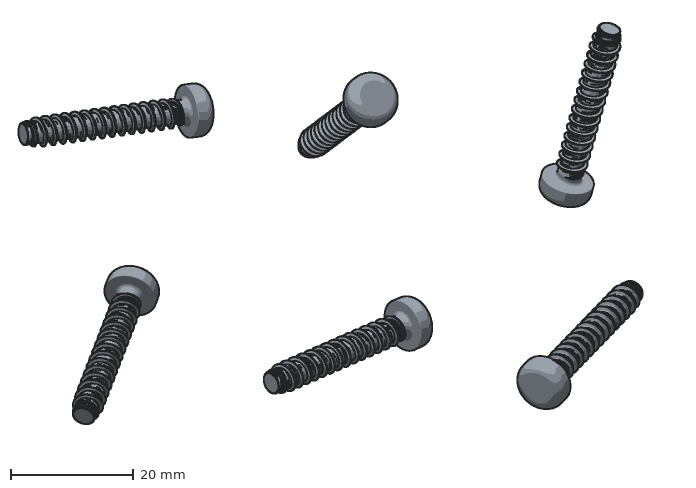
import cadquery as cq
import math

total_length = 33.5
head_height = 3.5
head_radius = 4.405
head_crown_radius = 1.75
head_rim_fillet = 0.17

shank_radius = 2.0
neck_fillet = 0.67
shank_end = 1.27
neck_end = 1.98
tip_radius = 1.7
tip_cone_height = 0.1
tip_bevel_height = 0.15

pitch = 1.7998
crest_radius = 2.5
crest_half_width = 0.05
shoulder_radius = 1.98
shoulder_offset = 0.27
root_radius = 1.8
root_offset = 0.57
foot_radius = 1.925
foot_offset = 0.25

first_crest = 1.17
first_crest_angle = -90.0
run_in_end = 2.85
run_in_radius = 2.15
run_out_start = 27.03
run_out_radius = 1.88
crest_clearance = 0.05

shank_length = total_length - head_height
thread_length = shank_length - shank_end
mid_angle = math.pi / 4


def revolve_about_y(profile):
    return profile.close().revolve(360, (0, 0, 0), (0, 1, 0))


def make_head_and_neck():
    """Head, filleted shank and narrowing neck, turned as one profile of (radius, y) points."""
    crown_x = head_radius - head_crown_radius
    crown_y = head_height - head_crown_radius
    rim_x = head_radius - head_rim_fillet
    fillet_x = shank_radius + neck_fillet
    crown_mid = (
        crown_x + head_crown_radius * math.cos(mid_angle),
        crown_y + head_crown_radius * math.sin(mid_angle),
    )
    rim_mid = (
        rim_x + head_rim_fillet * math.cos(mid_angle),
        head_rim_fillet - head_rim_fillet * math.sin(mid_angle),
    )
    fillet_mid = (
        fillet_x - neck_fillet * math.cos(mid_angle),
        -neck_fillet + neck_fillet * math.sin(mid_angle),
    )
    profile = (
        cq.Workplane("XY")
        .moveTo(0, head_height)
        .lineTo(crown_x, head_height)
        .threePointArc(crown_mid, (head_radius, crown_y))
        .lineTo(head_radius, head_rim_fillet)
        .threePointArc(rim_mid, (rim_x, 0))
        .lineTo(fillet_x, 0)
        .threePointArc(fillet_mid, (shank_radius, -neck_fillet))
        .lineTo(shank_radius, -shank_end)
        .lineTo(root_radius, -neck_end)
        .lineTo(0, -neck_end)
    )
    return revolve_about_y(profile)


def cross_section_point(radius, offset):
    """Point of the thread's cross-section: an offset along the axis becomes a turn about it."""
    first_turn = (shank_end - first_crest) / pitch
    angle = math.radians(first_crest_angle) + 2 * math.pi * (first_turn + offset / pitch)
    return (radius * math.cos(angle), radius * math.sin(angle))


def make_endless_thread():
    """Core and right-hand thread in one: a cross-section of arcs, twisted along the axis."""
    corners = [
        (root_radius, root_offset - pitch),
        (foot_radius, -foot_offset),
        (crest_radius, -crest_half_width),
        (crest_radius, crest_half_width),
        (shoulder_radius, shoulder_offset),
        (root_radius, root_offset),
    ]
    section = cq.Workplane("XZ", origin=(0, -shank_end, 0)).moveTo(*cross_section_point(*corners[0]))
    for (radius, offset), (next_radius, next_offset) in zip(corners, corners[1:]):
        middle = cross_section_point((radius + next_radius) / 2, (offset + next_offset) / 2)
        section = section.threePointArc(middle, cross_section_point(next_radius, next_offset))
    return section.close().twistExtrude(thread_length, 360 * thread_length / pitch)


def make_envelope():
    """Outer limit of the thread: tapered run-in and run-out, bevelled tip and flat end cone."""
    rim_y = -shank_length + tip_cone_height
    profile = (
        cq.Workplane("XY")
        .moveTo(0, 0)
        .lineTo(run_in_radius, 0)
        .lineTo(run_in_radius, -shank_end)
        .lineTo(crest_radius + crest_clearance, -run_in_end)
        .lineTo(crest_radius + crest_clearance, -run_out_start)
        .lineTo(run_out_radius, rim_y + tip_bevel_height)
        .lineTo(tip_radius, rim_y)
        .lineTo(0, -shank_length)
    )
    return revolve_about_y(profile)


thread = make_endless_thread()
result = make_head_and_neck().union(thread.intersect(make_envelope()))